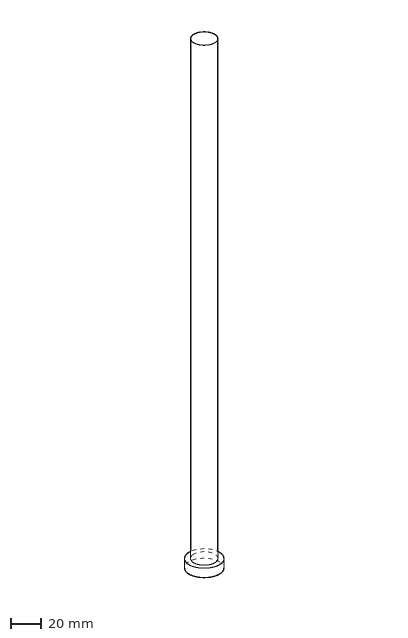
import cadquery as cq

total_length = 400.0
head_diameter = 26.0
head_height = 7.0
shaft_diameter = 18.0

head = cq.Workplane("XY").circle(head_diameter / 2).extrude(head_height)
shaft = cq.Workplane("XY").circle(shaft_diameter / 2).extrude(total_length)

result = head.union(shaft)